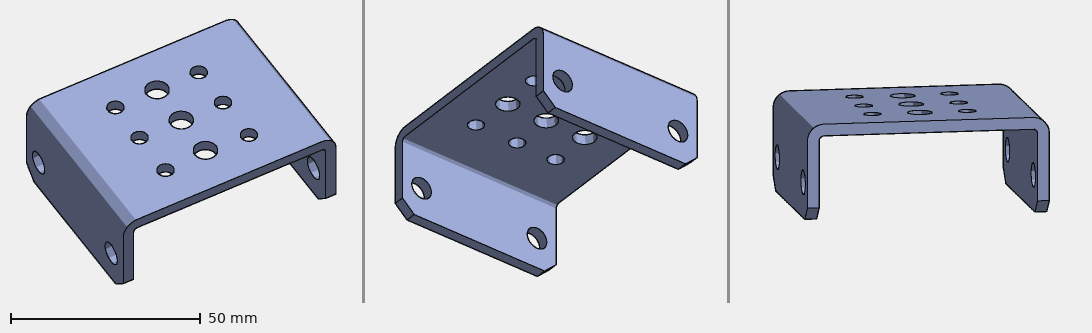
import cadquery as cq

width = 50.8
length = 64.8
height = 26.05

thickness = 3.2
inner_radius = 1.2
outer_radius = inner_radius + thickness

bevel_width = 3.9
bevel_height = 3.7

large_diameter = 6.4
small_diameter = 4.55
hole_pitch = 12.7
offset_column_x = 13.6
flange_hole_x = 1.5 * hole_pitch
flange_hole_z = 0.75 * hole_pitch


def block_with_rounded_top(y_size, z_size, radius):
    """Full-width block standing on Z = 0, its two upper edges along X rounded."""
    block = cq.Workplane("XY").box(width, y_size, z_size, centered=(True, True, False))
    return block.edges("|X and >Z").fillet(radius)


def bent_sheet():
    """Inverted U of constant thickness."""
    outside = block_with_rounded_top(length, height, outer_radius)
    inside = block_with_rounded_top(length - 2 * thickness, height - thickness, inner_radius)
    return outside.cut(inside)


def plate_holes(points, diameter):
    """Vertical cylinders at the given XY points."""
    return cq.Workplane("XY").pushPoints(points).circle(diameter / 2).extrude(height)


def flange_holes():
    """Cylinders along Y that pass through both flanges."""
    points = [(-flange_hole_x, flange_hole_z), (flange_hole_x, flange_hole_z)]
    plane = cq.Workplane("XZ").pushPoints(points)
    return plane.circle(large_diameter / 2).extrude(length / 2, both=True)


def corner_bevel(side):
    """Triangular prism along Y at a lower corner; side is -1 or 1 along X."""
    edge_x = side * width / 2
    inner_x = edge_x - side * bevel_width
    triangle = cq.Workplane("XZ").polyline([(edge_x, 0), (inner_x, 0), (edge_x, bevel_height)]).close()
    return triangle.extrude(length / 2, both=True)


large_points = [(x, 0) for x in (-hole_pitch, 0, hole_pitch)]
small_points = [
    (x, y) for x in (-hole_pitch, 0, offset_column_x) for y in (-hole_pitch, hole_pitch)
]

result = bent_sheet()
result = result.cut(plate_holes(large_points, large_diameter))
result = result.cut(plate_holes(small_points, small_diameter))
result = result.cut(flange_holes())
for side in (-1, 1):
    result = result.cut(corner_bevel(side))